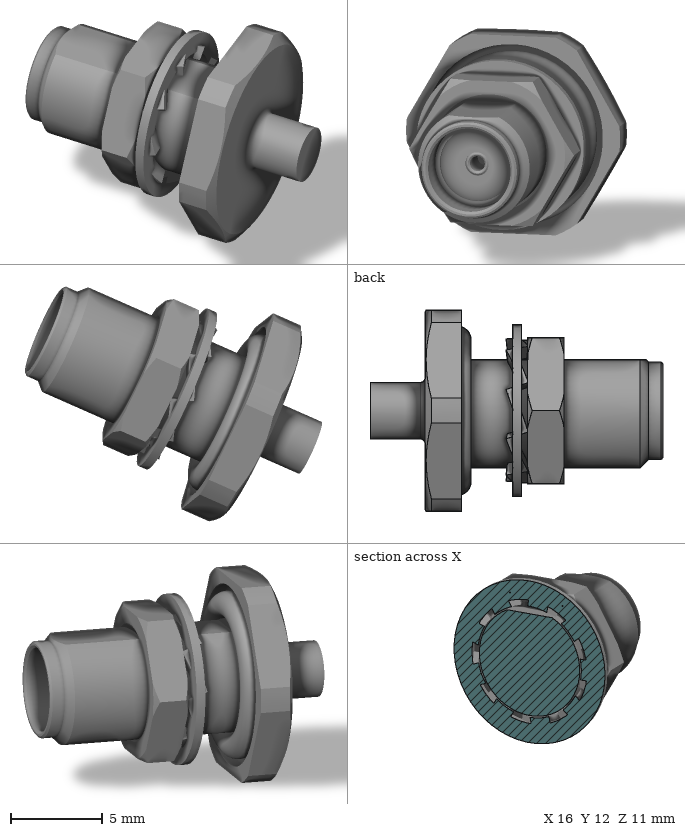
import cadquery as cq
import math

LENGTH = 16.0

BODY_RADIUS = 6.25 / 2
LIP_RADIUS = 5.35 / 2
LIP_LENGTH = 0.8
LIP_CHAMFER = 0.11
FLAT_HEIGHT = 2.8
FLAT_END = 10.83

BORE_RADIUS = 4.62 / 2
BORE_CHAMFER = 0.13
BORE_DEPTH = 1.92
INSULATOR_RADIUS = 4.1 / 2
INSULATOR_RECESS = 0.13
CONTACT_RADIUS = 1.3 / 2
CONTACT_CHAMFER = 0.1
CONTACT_BORE_RADIUS = 0.42
CONTACT_BORE_CHAMFER = 0.1
CONTACT_BORE_DEPTH = 2.0

NUT_START = 5.4
NUT_LENGTH = 2.0
NUT_ACROSS_FLATS = 8.0
NUT_FACE_RADIUS = 4.18
NUT_CHAMFER_ANGLE = 30
NUT_BORE_RADIUS = 2.8
NUT_COUNTERSINK_RADIUS = 3.26
NUT_COUNTERSINK_ANGLE = 30

WASHER_START = 7.73
WASHER_THICKNESS = 0.5
WASHER_RADIUS = 9.4 / 2
WASHER_BORE_RADIUS = 7.12 / 2
TOOTH_COUNT = 9
TOOTH_PHASE = 20
TOOTH_TWIST = 19
TOOTH_HALF_ANGLE = 19
TOOTH_THICKNESS = 0.4
TOOTH_INNER_RADIUS = 3.2
TOOTH_OUTER_RADIUS = 7.9 / 2

FLANGE_START = 11.0
FLANGE_LENGTH = 2.0
FLANGE_ACROSS_FLATS = 11.0
FLANGE_CORNER_RADIUS = 12.0 / 2
FLANGE_FACE_RADIUS = 5.4
FLANGE_CHAMFER_ANGLE = 30

GROOVE_RADIUS = 10.06 / 2
GROOVE_DEPTH = 1.0
GROOVE_FILLET = 0.3
SEAL_SECTION_RADIUS = 0.75
SEAL_RING_RADIUS = 3.87
SEAL_START = 10.5

TAIL_RADIUS = 3.1 / 2
TAIL_FILLET = 0.25

NUT_END = NUT_START + NUT_LENGTH
FLANGE_END = FLANGE_START + FLANGE_LENGTH
GROOVE_FLOOR = FLANGE_START + GROOVE_DEPTH


def revolve_about_x(profile):
    """Turn a closed (X, radius) profile once round the connector axis."""
    return profile.revolve(360, (0, 0, 0), (1, 0, 0))


def turned(points):
    return revolve_about_x(cq.Workplane("XY").polyline(points).close())


def cylinder(start, end, radius):
    return turned([(start, 0), (start, radius), (end, radius), (end, 0)])


def hexagon(start, length, across_flats):
    """Hexagonal prism along X with two flats facing up and down."""
    corner_diameter = across_flats / math.cos(math.radians(30))
    return cq.Workplane("YZ").workplane(offset=start).polygon(6, corner_diameter).extrude(length)


def make_body():
    lip_step = BODY_RADIUS - LIP_RADIUS
    body = turned([
        (0, 0),
        (0, LIP_RADIUS - LIP_CHAMFER),
        (LIP_CHAMFER, LIP_RADIUS),
        (LIP_LENGTH, LIP_RADIUS),
        (LIP_LENGTH + lip_step, BODY_RADIUS),
        (FLANGE_END, BODY_RADIUS),
        (FLANGE_END, 0),
    ])
    cut_depth = BODY_RADIUS - FLAT_HEIGHT
    flat_cutter = cq.Workplane("XY").box(
        FLAT_END, 2 * BODY_RADIUS, 2 * cut_depth, centered=(False, True, False)
    ).translate((0, 0, FLAT_HEIGHT))
    return body.cut(flat_cutter)


def make_socket():
    """Empty space inside the mating end, down to the insulator and the contact."""
    insulator_face = BORE_DEPTH + INSULATOR_RECESS
    bore = turned([
        (0, 0),
        (0, BORE_RADIUS + BORE_CHAMFER),
        (BORE_CHAMFER, BORE_RADIUS),
        (BORE_DEPTH, BORE_RADIUS),
        (BORE_DEPTH, INSULATOR_RADIUS),
        (insulator_face, INSULATOR_RADIUS),
        (insulator_face, 0),
    ])
    contact_edge = turned([
        (insulator_face, CONTACT_RADIUS - CONTACT_CHAMFER),
        (insulator_face, CONTACT_RADIUS),
        (insulator_face + CONTACT_CHAMFER, CONTACT_RADIUS),
    ])
    contact_bore = turned([
        (insulator_face, 0),
        (insulator_face, CONTACT_BORE_RADIUS + CONTACT_BORE_CHAMFER),
        (insulator_face + CONTACT_BORE_CHAMFER, CONTACT_BORE_RADIUS),
        (insulator_face + CONTACT_BORE_DEPTH, CONTACT_BORE_RADIUS),
        (insulator_face + CONTACT_BORE_DEPTH, 0),
    ])
    return bore.union(contact_edge).union(contact_bore)


def make_nut():
    corner_radius = NUT_ACROSS_FLATS / 2 / math.cos(math.radians(30))
    chamfer = (corner_radius - NUT_FACE_RADIUS) * math.tan(math.radians(NUT_CHAMFER_ANGLE))
    envelope = turned([
        (NUT_START, 0),
        (NUT_START, NUT_FACE_RADIUS),
        (NUT_START + chamfer, corner_radius),
        (NUT_END - chamfer, corner_radius),
        (NUT_END, NUT_FACE_RADIUS),
        (NUT_END, 0),
    ])
    step = NUT_COUNTERSINK_RADIUS - NUT_BORE_RADIUS
    countersink = step * math.tan(math.radians(NUT_COUNTERSINK_ANGLE))
    bore = turned([
        (NUT_START, 0),
        (NUT_START, NUT_COUNTERSINK_RADIUS),
        (NUT_START + countersink, NUT_BORE_RADIUS),
        (NUT_END - countersink, NUT_BORE_RADIUS),
        (NUT_END, NUT_COUNTERSINK_RADIUS),
        (NUT_END, 0),
    ])
    return hexagon(NUT_START, NUT_LENGTH, NUT_ACROSS_FLATS).intersect(envelope).cut(bore)


def make_washer():
    washer_end = WASHER_START + WASHER_THICKNESS
    washer = cylinder(WASHER_START, washer_end, WASHER_RADIUS)
    washer = washer.cut(cylinder(WASHER_START, washer_end, WASHER_BORE_RADIUS))

    middle = WASHER_START + WASHER_THICKNESS / 2
    blade_length = 1.2 * TOOTH_OUTER_RADIUS
    reach = blade_length * math.tan(math.radians(TOOTH_HALF_ANGLE))
    tooth_zone = cylinder(middle - reach, middle + reach, TOOTH_OUTER_RADIUS)
    tooth_zone = tooth_zone.cut(cylinder(middle - reach, middle + reach, TOOTH_INNER_RADIUS))
    tooth = (
        cq.Workplane("YZ")
        .polyline([(0, 0), (-blade_length, reach), (-blade_length, -reach)])
        .close()
        .extrude(TOOTH_THICKNESS / 2, both=True)
        .rotate((0, 0, 0), (0, 1, 0), -TOOTH_TWIST)
        .translate((middle, 0, 0))
        .intersect(tooth_zone)
    )
    for index in range(TOOTH_COUNT):
        angle = TOOTH_PHASE + index * 360 / TOOTH_COUNT
        washer = washer.union(tooth.rotate((0, 0, 0), (1, 0, 0), -angle))
    return washer


def make_flange():
    drop = FLANGE_CORNER_RADIUS - FLANGE_FACE_RADIUS
    chamfer = drop * math.tan(math.radians(FLANGE_CHAMFER_ANGLE))
    envelope = turned([
        (FLANGE_START, 0),
        (FLANGE_START, FLANGE_CORNER_RADIUS),
        (FLANGE_END - chamfer, FLANGE_CORNER_RADIUS),
        (FLANGE_END, FLANGE_FACE_RADIUS),
        (FLANGE_END, 0),
    ])
    groove = cylinder(FLANGE_START, GROOVE_FLOOR, GROOVE_RADIUS)
    groove = groove.faces(">X").edges().fillet(GROOVE_FILLET)
    flange = hexagon(FLANGE_START, FLANGE_LENGTH, FLANGE_ACROSS_FLATS)
    return flange.intersect(envelope).cut(groove)


def make_seal():
    center = (SEAL_START + SEAL_SECTION_RADIUS, SEAL_RING_RADIUS)
    return revolve_about_x(cq.Workplane("XY").moveTo(*center).circle(SEAL_SECTION_RADIUS))


def make_tail():
    root_radius = TAIL_RADIUS + TAIL_FILLET
    bend = math.sqrt(0.5) * TAIL_FILLET
    profile = (
        cq.Workplane("XY")
        .moveTo(FLANGE_END, 0)
        .lineTo(FLANGE_END, root_radius)
        .threePointArc(
            (FLANGE_END + TAIL_FILLET - bend, root_radius - bend),
            (FLANGE_END + TAIL_FILLET, TAIL_RADIUS),
        )
        .lineTo(LENGTH, TAIL_RADIUS)
        .lineTo(LENGTH, 0)
        .close()
    )
    return revolve_about_x(profile)


result = make_body().cut(make_socket())
for part in (make_flange(), make_seal(), make_tail(), make_nut(), make_washer()):
    result = result.union(part)